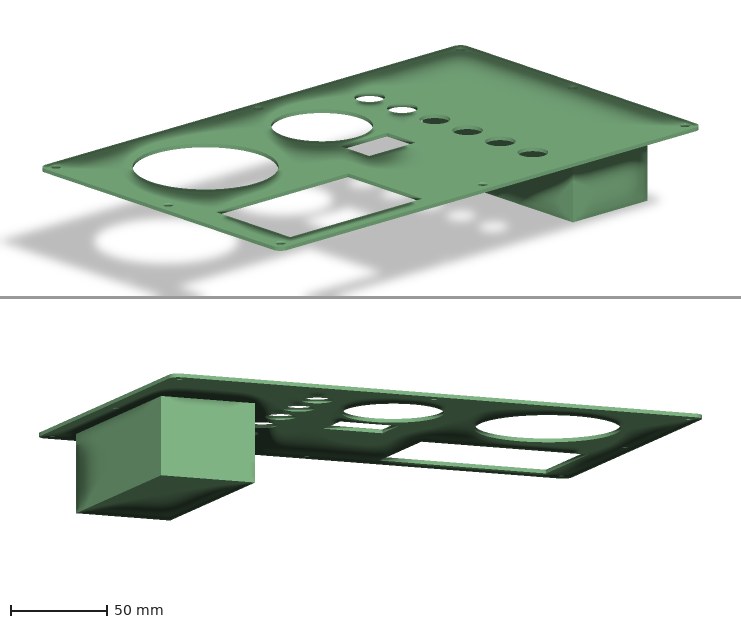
import cadquery as cq

PANEL_WIDTH = 185.0
PANEL_LENGTH = 300.0
PANEL_THICKNESS = 2.0
CORNER_RADIUS = 5.0

SCREW_INSET = 6.5
SCREW_DIAMETER = 3.0
SCREW_HEAD_DIAMETER = 5.6
SCREW_HEAD_ANGLE = 90.0

ROW_COUNT = 6
ROW_PITCH = 25.0
ROW_DIAMETER = 16.0
ROW_CENTER = (2.5, 55.0)

SMALL_ROUND_DIAMETER = 53.0
SMALL_ROUND_CENTER = (-42.5, 5.0)
LARGE_ROUND_DIAMETER = 76.0
LARGE_ROUND_CENTER = (-33.5, -86.0)

SMALL_WINDOW_WIDTH = 22.0
SMALL_WINDOW_LENGTH = 33.0
SMALL_WINDOW_CENTER = (0.5, SMALL_ROUND_CENTER[1])
LARGE_WINDOW_WIDTH = 57.0
LARGE_WINDOW_LENGTH = 94.0
LARGE_WINDOW_CENTER = (53.75, -86.25)

BOX_WIDTH = 115.0
BOX_LENGTH = 53.0
BOX_BOTTOM_DEPTH = 47.0
BOX_TOP_DEPTH = 5.0
BOX_EDGE_INSET = 9.0


def make_plate():
    """Flat plate with rounded corners."""
    plate = cq.Workplane("XY").box(
        PANEL_WIDTH, PANEL_LENGTH, PANEL_THICKNESS, centered=(True, True, False)
    )
    plate = plate.translate((0, 0, -PANEL_THICKNESS))
    return plate.edges("|Z").fillet(CORNER_RADIUS)


def cut_screw_holes(plate):
    """Countersunk holes at the corners and at the middle of each side."""
    reach_x = PANEL_WIDTH / 2 - SCREW_INSET
    reach_y = PANEL_LENGTH / 2 - SCREW_INSET
    points = [
        (column * reach_x, row * reach_y)
        for column in (-1, 0, 1)
        for row in (-1, 0, 1)
        if (column, row) != (0, 0)
    ]
    top_face = plate.faces(">Z").workplane(origin=(0, 0, 0))
    return top_face.pushPoints(points).cskHole(SCREW_DIAMETER, SCREW_HEAD_DIAMETER, SCREW_HEAD_ANGLE)


def cut_round_openings(plate):
    """Row of equal holes and the two large round openings."""
    row_x, row_y = ROW_CENTER
    first_x = row_x - ROW_PITCH * (ROW_COUNT - 1) / 2
    openings = [((first_x + i * ROW_PITCH, row_y), ROW_DIAMETER) for i in range(ROW_COUNT)]
    openings.append((SMALL_ROUND_CENTER, SMALL_ROUND_DIAMETER))
    openings.append((LARGE_ROUND_CENTER, LARGE_ROUND_DIAMETER))
    for center, diameter in openings:
        cutter = cq.Workplane("XY").center(*center).circle(diameter / 2).extrude(-PANEL_THICKNESS)
        plate = plate.cut(cutter)
    return plate


def cut_window(plate, center, width, length):
    """Rectangular opening through the plate."""
    cutter = cq.Workplane("XY").center(*center).rect(width, length).extrude(-PANEL_THICKNESS)
    return plate.cut(cutter)


def make_panel():
    """Complete panel with all its openings."""
    plate = cut_screw_holes(make_plate())
    plate = cut_round_openings(plate)
    plate = cut_window(plate, SMALL_WINDOW_CENTER, SMALL_WINDOW_WIDTH, SMALL_WINDOW_LENGTH)
    return cut_window(plate, LARGE_WINDOW_CENTER, LARGE_WINDOW_WIDTH, LARGE_WINDOW_LENGTH)


def make_box():
    """Plain rectangular block near the +Y edge, separated from the panel by a gap."""
    center_x = ROW_CENTER[0]
    center_y = PANEL_LENGTH / 2 - BOX_EDGE_INSET - BOX_LENGTH / 2
    height = BOX_BOTTOM_DEPTH - BOX_TOP_DEPTH
    base = cq.Workplane("XY", origin=(center_x, center_y, -BOX_BOTTOM_DEPTH))
    return base.rect(BOX_WIDTH, BOX_LENGTH).extrude(height)


panel = make_panel()
box = make_box()

result = cq.Compound.makeCompound([panel.val(), box.val()])